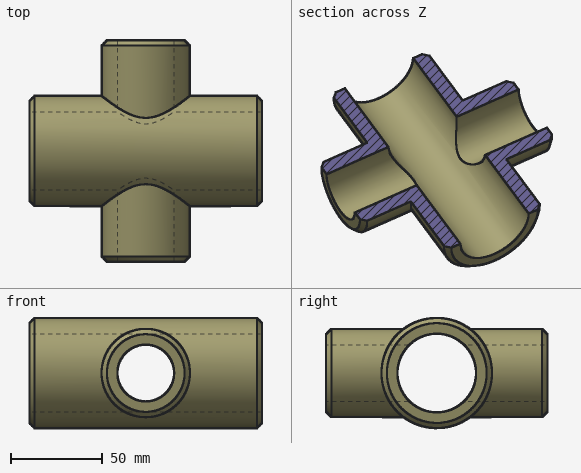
import cadquery as cq

run_length = 127.0
run_diameter = 60.3
run_bore = 42.8
branch_length = 120.9
branch_diameter = 48.3
branch_bore = 30.9
end_chamfer = 2.9


def centred_cylinder(plane, diameter, length):
    """Cylinder along the plane's normal, centred on the origin."""
    return cq.Workplane(plane).circle(diameter / 2).extrude(length / 2, both=True)


def chamfered_pipe(plane, diameter, length):
    """Solid pipe body with both end rims chamfered."""
    normal_axis = {"YZ": "X", "XZ": "Y"}[plane]
    body = centred_cylinder(plane, diameter, length)
    return body.faces(f"<{normal_axis} or >{normal_axis}").chamfer(end_chamfer)


run = chamfered_pipe("YZ", run_diameter, run_length)
branch = chamfered_pipe("XZ", branch_diameter, branch_length)

run_hole = centred_cylinder("YZ", run_bore, run_length)
branch_hole = centred_cylinder("XZ", branch_bore, branch_length)

result = run.union(branch).cut(run_hole).cut(branch_hole)